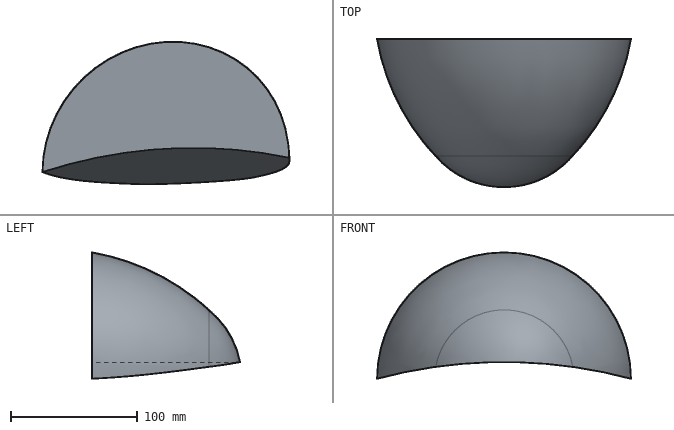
import cadquery as cq
import math

rim_radius = 100.576
flank_radius = 184.0
seam_radius = 55.2
seam_depth = 92.4
cap_radius = 71.05

corner_height = 0.395
arch_rise = 13.23

cap_center_depth = seam_depth - math.sqrt(cap_radius**2 - seam_radius**2)
apex_depth = cap_center_depth + cap_radius
corner_x = math.sqrt(rim_radius**2 - corner_height**2)


def make_dome():
    """Revolve the flank and the cap, two arcs meeting at the seam, about the Y axis."""
    half_cap_angle = math.asin(seam_radius / cap_radius) / 2
    cap_middle = (
        cap_radius * math.sin(half_cap_angle),
        -(cap_center_depth + cap_radius * math.cos(half_cap_angle)),
    )
    profile = (
        cq.Workplane("XY")
        .lineTo(rim_radius, 0)
        .radiusArc((seam_radius, -seam_depth), flank_radius)
        .threePointArc(cap_middle, (0, -apex_depth))
        .close()
    )
    dome = profile.revolve(360, (0, 0), (0, 1))
    return dome.rotate((0, 0, 0), (0, 1, 0), 90)


def make_space_above_arch():
    """Everything above the underside arch, from the back to the apex and up past the rim."""
    top_height = rim_radius + corner_height
    return (
        cq.Workplane("XZ")
        .moveTo(-corner_x, corner_height)
        .threePointArc((0, corner_height + arch_rise), (corner_x, corner_height))
        .lineTo(corner_x, top_height)
        .lineTo(-corner_x, top_height)
        .close()
        .extrude(apex_depth)
    )


result = make_dome().intersect(make_space_above_arch()).translate((0, 0, -corner_height))